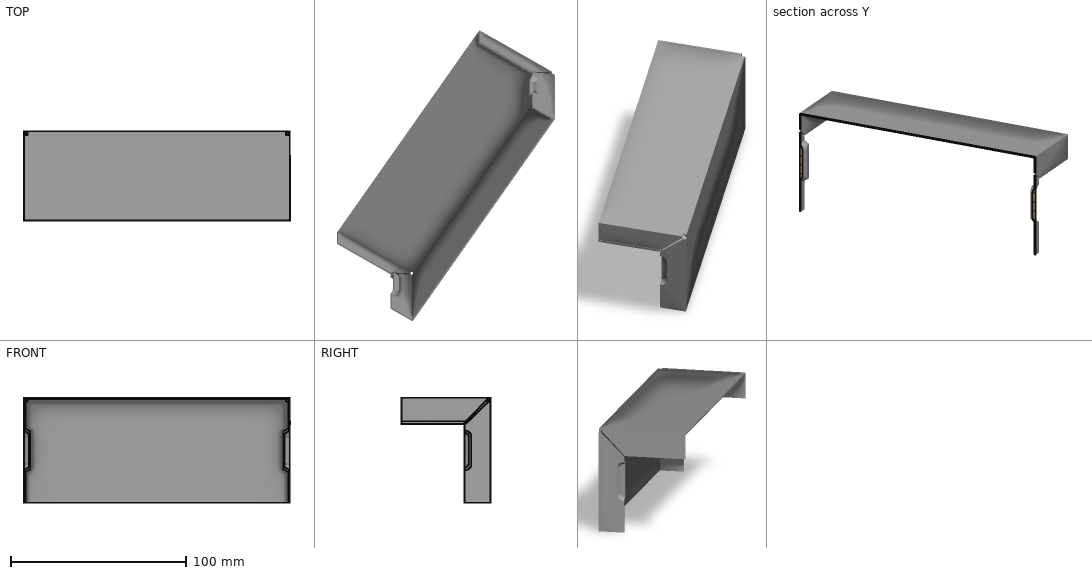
import cadquery as cq
import math

overall_length = 152.0
lip_projection = 0.25
length = overall_length - lip_projection
depth = 51.0
height = 60.0
thickness = 1.0
flap_width = 15.0

relief = 2.1
gap_half_width_at_relief = 0.65
gap_half_width_at_flap_edge = 0.4

recess_half_length = 11.3
recess_reach = 4.0
recess_corner_radius = 3.6
recess_depth = 2.8
recess_wall_angle = 30.0
recess_skin_margin = 1.0
recess_centre_z = height / 2

lip_height = 1.5

flap_edge_y = depth - flap_width
flap_edge_z = height - flap_width


def block(x0, x1, y0, y1, z0, z1):
    return cq.Workplane("XY").box(x1 - x0, y1 - y0, z1 - z0, centered=False).translate((x0, y0, z0))


def plates():
    top = block(0, length, 0, depth, height - thickness, height)
    back = block(0, length, depth - thickness, depth, 0, height)
    return top.union(back)


def flap_pair():
    """Left-hand L-shaped side wall."""
    top_flap = block(0, thickness, 0, depth, flap_edge_z, height)
    back_flap = block(0, thickness, flap_edge_y, depth, 0, height)
    return top_flap.union(back_flap)


def mitre_gap(x0, x1):
    """45 degree gap between the flaps, widening from their free edges to the corner relief."""
    mitre_length = (flap_width - relief) * math.sqrt(2)
    narrow = gap_half_width_at_flap_edge
    wide = gap_half_width_at_relief
    overrun = thickness
    wedge = (
        cq.Workplane("YZ")
        .moveTo(-overrun, narrow)
        .lineTo(0, narrow)
        .lineTo(mitre_length, wide)
        .lineTo(mitre_length, -wide)
        .lineTo(0, -narrow)
        .lineTo(-overrun, -narrow)
        .close()
        .extrude(x1 - x0)
    )
    return wedge.rotate((0, 0, 0), (1, 0, 0), 45).translate((x0, flap_edge_y, flap_edge_z))


def rounded_recess(start_x, margin):
    """Half of a rounded block tapering inward along +X, grown sideways by margin."""
    outline = (
        cq.Sketch()
        .rect(2 * (recess_reach + margin), 2 * (recess_half_length + margin))
        .vertices()
        .fillet(recess_corner_radius + margin)
    )
    recess = (
        cq.Workplane("YZ", origin=(start_x, flap_edge_y, recess_centre_z))
        .placeSketch(outline)
        .extrude(recess_depth, taper=recess_wall_angle)
    )
    behind_edge = block(0, length, flap_edge_y, depth, 0, height)
    return recess.intersect(behind_edge)


def left_wall():
    """Left-hand flaps with the recess pressed through the back flap."""
    skin = rounded_recess(thickness, recess_skin_margin)
    return flap_pair().union(skin).cut(rounded_recess(0, 0))


def corner_relief():
    return block(0, relief, depth - relief, depth, height - relief, height)


def lip():
    """Strip along the flap's lower edge, its rear end cut at 45 degrees along the mitre."""
    lip_top = flap_edge_z + lip_height
    return (
        cq.Workplane("YZ", origin=(length - thickness, 0, 0))
        .moveTo(0, flap_edge_z)
        .lineTo(flap_edge_y, flap_edge_z)
        .lineTo(flap_edge_y + lip_height, lip_top)
        .lineTo(0, lip_top)
        .close()
        .extrude(thickness + lip_projection)
    )


def mirrored_to_right(shape):
    return shape.mirror("YZ", (length / 2, 0, 0))


result = plates()
result = result.union(left_wall()).union(mirrored_to_right(left_wall())).union(lip())
result = result.cut(mitre_gap(0, thickness)).cut(mitre_gap(length - thickness, overall_length))
result = result.cut(corner_relief()).cut(mirrored_to_right(corner_relief()))